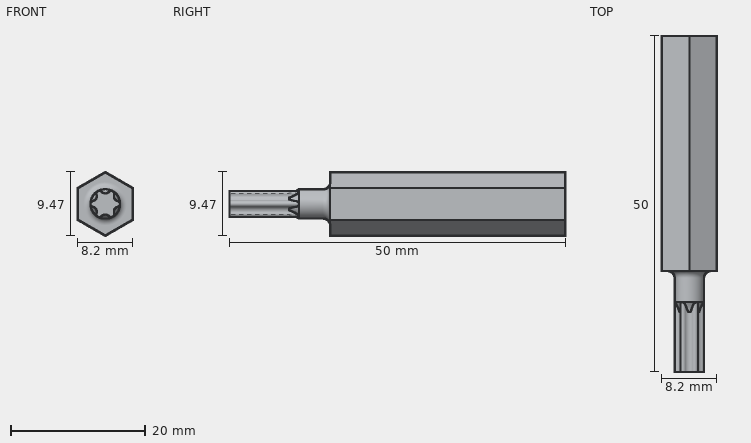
import cadquery as cq
import math

total_length = 50.0
hex_flats = 8.2
hex_length = 35.0

neck_diameter = 4.4
neck_radius = neck_diameter / 2
neck_fillet = 1.0

tip_length = 10.4
valley_diameter = 3.15
valley_floor_radius = valley_diameter / 2
lobe_radius = 0.44
lobe_count = 6
runout_radius = 3.1

neck_end = total_length - tip_length
half_pitch = math.pi / lobe_count
lobe_centre = neck_radius - lobe_radius

valley_radius = (
    lobe_centre**2
    + valley_floor_radius**2
    - 2 * lobe_centre * valley_floor_radius * math.cos(half_pitch)
    - lobe_radius**2
) / (2 * (lobe_radius - valley_floor_radius + lobe_centre * math.cos(half_pitch)))
valley_centre = valley_floor_radius + valley_radius


def polar(radius, angle):
    return radius * math.cos(angle), radius * math.sin(angle)


blend = lobe_radius / (lobe_radius + valley_radius)
valley_x, valley_y = polar(valley_centre, half_pitch)
joint_x = lobe_centre + blend * (valley_x - lobe_centre)
joint_y = blend * valley_y
joint_distance = math.hypot(joint_x, joint_y)
joint_angle = math.atan2(joint_y, joint_x)


def section(distance):
    """Workplane facing the tip, at a distance from the back of the shank."""
    return cq.Workplane("XZ", origin=(0, total_length / 2 - distance, 0))


def make_shank():
    corner_radius = hex_flats / 2 / math.cos(math.pi / 6)
    corners = [polar(corner_radius, math.pi / 6 + i * math.pi / 3) for i in range(6)]
    return section(0).polyline(corners).close().extrude(hex_length)


def make_neck():
    """Neck profile revolved about Y, flaring out where it meets the shank."""
    shank_face = total_length / 2 - hex_length
    neck_face = total_length / 2 - neck_end
    flare_radius = neck_radius + neck_fillet
    arc_inset = neck_fillet * (1 - math.cos(math.pi / 4))
    return (
        cq.Workplane("XY")
        .moveTo(0, shank_face)
        .lineTo(flare_radius, shank_face)
        .threePointArc(
            (neck_radius + arc_inset, shank_face - arc_inset),
            (neck_radius, shank_face - neck_fillet),
        )
        .lineTo(neck_radius, neck_face)
        .lineTo(0, neck_face)
        .close()
        .revolve(360, (0, 0, 0), (0, 1, 0))
    )


def make_lobed_tip():
    outline = section(neck_end).moveTo(*polar(joint_distance, -joint_angle))
    for i in range(lobe_count):
        lobe = 2 * half_pitch * i
        next_lobe = lobe + 2 * half_pitch
        outline = outline.threePointArc(
            polar(neck_radius, lobe), polar(joint_distance, lobe + joint_angle)
        ).threePointArc(
            polar(valley_floor_radius, lobe + half_pitch),
            polar(joint_distance, next_lobe - joint_angle),
        )
    return outline.close().extrude(tip_length)


def make_runout():
    """Concave flare that closes the valleys at the neck and meets their floors tangentially."""
    neck_face = total_length / 2 - neck_end
    rise = neck_radius - valley_floor_radius
    sweep = math.acos(1 - rise / runout_radius)
    length = runout_radius * math.sin(sweep)
    middle_rise = runout_radius * (1 - math.cos(sweep / 2))
    middle_drop = length - runout_radius * math.sin(sweep / 2)
    return (
        cq.Workplane("XY")
        .moveTo(0, neck_face)
        .lineTo(neck_radius, neck_face)
        .threePointArc(
            (valley_floor_radius + middle_rise, neck_face - middle_drop),
            (valley_floor_radius, neck_face - length),
        )
        .lineTo(0, neck_face - length)
        .close()
        .revolve(360, (0, 0, 0), (0, 1, 0))
    )


result = make_shank().union(make_neck()).union(make_lobed_tip()).union(make_runout())